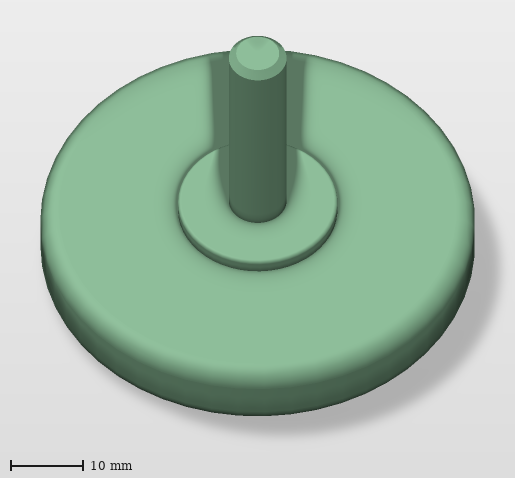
import cadquery as cq

disc_diameter = 60.0
disc_height = 10.0
disc_edge_radius = 2.5

collar_diameter = 22.0
collar_height = 2.0
collar_edge_radius = 0.5

stem_diameter = 8.0
stem_chamfer = 1.0
total_height = 44.0

collar_top = disc_height + collar_height
stem_height = total_height - collar_top


def cylinder(diameter, height, base_z):
    """Solid cylinder on the Z axis, starting at base_z."""
    return cq.Workplane("XY").workplane(offset=base_z).circle(diameter / 2).extrude(height)


disc = cylinder(disc_diameter, disc_height, 0).edges().fillet(disc_edge_radius)

collar = cylinder(collar_diameter, collar_height, disc_height).faces(">Z").edges().fillet(collar_edge_radius)

stem = cylinder(stem_diameter, stem_height, collar_top).faces(">Z").edges().chamfer(stem_chamfer)

result = disc.union(collar).union(stem)